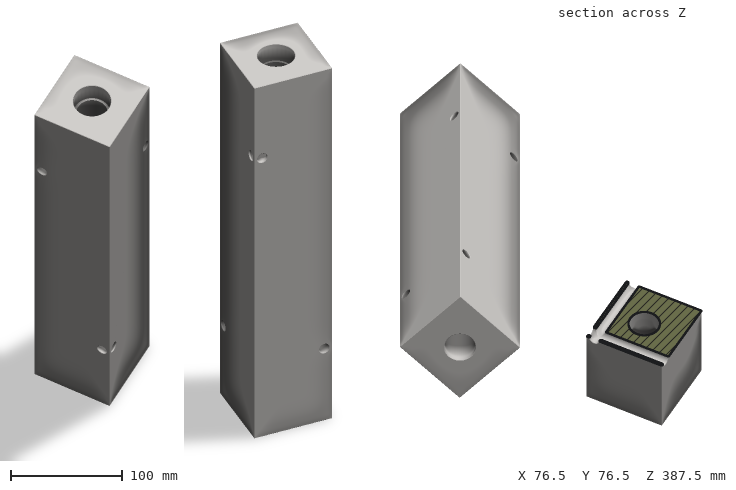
import cadquery as cq
side = 76.5
height = 387.5

bore_diameter = 28.0
socket_mouth_diameter = 34.0
socket_floor_diameter = 32.5
socket_depth = 17.5

cross_hole_diameter = 9.5
edge_distance = 7.7
end_distance = 79.5

edge_break = 0.5


def make_block():
    return cq.Workplane("XY").rect(side, side).extrude(height)


def make_bore():
    """Through bore opening into a tapered socket at the top."""
    bore = cq.Workplane("XY").circle(bore_diameter / 2).extrude(height)
    socket = (
        cq.Workplane("XY", origin=(0, 0, height - socket_depth))
        .circle(socket_floor_diameter / 2)
        .workplane(offset=socket_depth)
        .circle(socket_mouth_diameter / 2)
        .loft()
    )
    return bore.union(socket)


def make_cross_holes():
    """Two holes right through the block along Y, and the same pattern along X."""
    offset = side / 2 - edge_distance
    along_y = (
        cq.Workplane("XZ")
        .pushPoints([(-offset, height - end_distance), (offset, end_distance)])
        .circle(cross_hole_diameter / 2)
        .extrude(side / 2, both=True)
    )
    along_x = along_y.rotate((0, 0, 0), (0, 0, 1), -90)
    return along_y.union(along_x)


def break_edges(body):
    """Bevel the edges of the six outer faces, hole mouths included."""
    outer_faces = body.faces("<X or >X or <Y or >Y or <Z or >Z")
    return outer_faces.edges().chamfer(edge_break)


drilled_block = make_block().cut(make_bore()).cut(make_cross_holes())
result = break_edges(drilled_block)